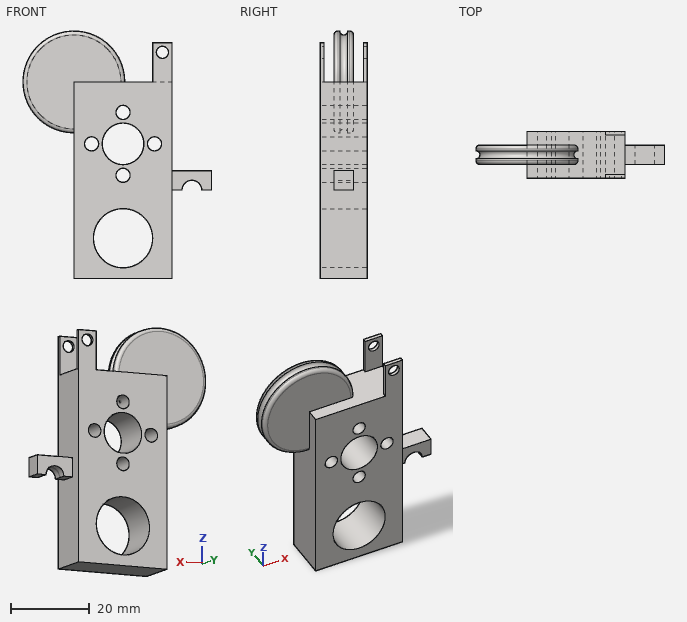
import cadquery as cq

block_width = 25.0
block_height = 50.0
block_depth = 12.0

wheel_radius = 13.0
wheel_width = 5.0
rim_radius = 1.0
groove_radius = 1.0

lug_width = 5.0
lug_height = 10.0
lug_thickness = 1.0
lug_hole_diameter = 3.0

arm_length = 10.0
arm_size = 5.0
arm_bottom = 22.5
notch_diameter = 5.0

upper_bore_diameter = 10.5
lower_bore_diameter = 15.0
lower_bore_height = 10.3
bore_spacing = 24.0
screw_hole_diameter = 3.5
screw_circle_diameter = 16.0


def box_between(x_min, z_min, width, depth, height):
    """Box placed by its lower left edge and centred on Y = 0."""
    return (
        cq.Workplane("XY", origin=(x_min, 0, z_min))
        .box(width, depth, height, centered=(False, True, False))
    )


def cylinder_along_y(x, z, radius, length):
    """Cylinder along Y, centred on Y = 0."""
    return (
        cq.Workplane("XZ", origin=(x, 0, z))
        .circle(radius)
        .extrude(length / 2, both=True)
    )


def make_wheel():
    """Disc with rounded rims and a half-round groove in its edge."""
    disc = cylinder_along_y(0, block_height, wheel_radius, wheel_width)
    disc = disc.edges().fillet(rim_radius)
    groove = (
        cq.Workplane("XY", origin=(0, 0, block_height))
        .center(wheel_radius, 0)
        .circle(groove_radius)
        .revolve(360, (-wheel_radius, 0), (-wheel_radius, 1))
    )
    return disc.cut(groove)


def make_lugs():
    """Two drilled lugs flush with the front, back and right block faces."""
    x_min = block_width - lug_width
    lugs = box_between(x_min, block_height, lug_width, block_depth, lug_height)
    gap = box_between(x_min, block_height, lug_width, block_depth - 2 * lug_thickness, lug_height)
    hole_x = block_width - lug_width / 2
    hole_z = block_height + lug_height - lug_width / 2
    hole = cylinder_along_y(hole_x, hole_z, lug_hole_diameter / 2, block_depth)
    return lugs.cut(gap).cut(hole)


def make_arm():
    """Square arm with a half-round notch in the middle of its underside."""
    arm = box_between(block_width, arm_bottom, arm_length, arm_size, arm_size)
    notch_x = block_width + arm_length / 2
    return arm.cut(cylinder_along_y(notch_x, arm_bottom, notch_diameter / 2, arm_size))


def make_block():
    """Block with two bores and four screw holes around the upper bore."""
    block = box_between(0, 0, block_width, block_depth, block_height)
    center_x = block_width / 2
    upper_z = lower_bore_height + bore_spacing
    screw_offset = screw_circle_diameter / 2
    holes = [
        (center_x, lower_bore_height, lower_bore_diameter),
        (center_x, upper_z, upper_bore_diameter),
        (center_x - screw_offset, upper_z, screw_hole_diameter),
        (center_x + screw_offset, upper_z, screw_hole_diameter),
        (center_x, upper_z - screw_offset, screw_hole_diameter),
        (center_x, upper_z + screw_offset, screw_hole_diameter),
    ]
    for x, z, diameter in holes:
        block = block.cut(cylinder_along_y(x, z, diameter / 2, block_depth))
    return block


result = make_block().union(make_wheel()).union(make_lugs()).union(make_arm())